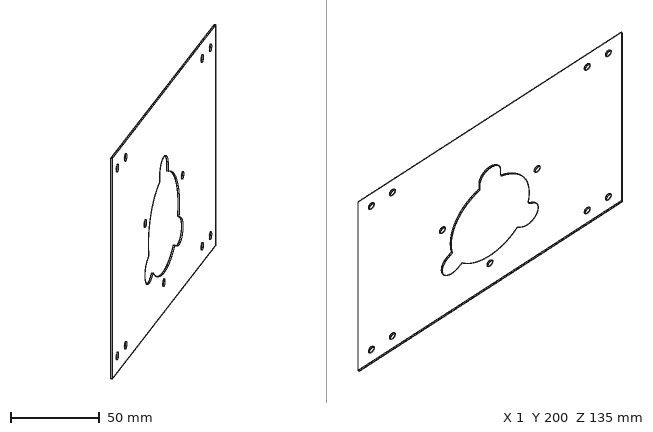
import cadquery as cq

thickness = 1.0
width = 200.0
height = 135.0

hole_diameter = 4.4
edge_margin = 10.0
pair_spacing = 16.0

opening_z = -13.5
opening_diameter = 60.0
lobe_width = 16.4
lobe_reach = 33.0
lobe_angles = (90, 210, 330)

side_hole_y = 36.0
side_hole_rise = 15.0
bottom_hole_drop = 36.0


def plate_blank():
    return cq.Workplane("YZ").rect(width, height).extrude(thickness / 2, both=True)


def through_cutter(sketch):
    """Extrude closed outlines on the YZ plane right through the plate."""
    return sketch.extrude(thickness, both=True)


def round_holes(points):
    return through_cutter(cq.Workplane("YZ").pushPoints(points).circle(hole_diameter / 2))


def lobe(angle):
    """Slot from the opening centre outwards, ending in a half circle."""
    half_width = lobe_width / 2
    outline = (
        cq.Workplane("YZ")
        .moveTo(0, -half_width)
        .lineTo(lobe_reach, -half_width)
        .threePointArc((lobe_reach + half_width, 0), (lobe_reach, half_width))
        .lineTo(0, half_width)
        .close()
    )
    return through_cutter(outline).rotate((0, 0, 0), (1, 0, 0), angle)


def central_opening():
    opening = through_cutter(cq.Workplane("YZ").circle(opening_diameter / 2))
    for angle in lobe_angles:
        opening = opening.union(lobe(angle))
    return opening.translate((0, 0, opening_z))


def mounting_hole_points():
    outer_y = width / 2 - edge_margin
    inner_y = outer_y - pair_spacing
    row_z = height / 2 - edge_margin
    return [(side * y, end * row_z) for side in (-1, 1) for end in (-1, 1) for y in (inner_y, outer_y)]


fixing_hole_points = [
    (-side_hole_y, opening_z + side_hole_rise),
    (side_hole_y, opening_z + side_hole_rise),
    (0, opening_z - bottom_hole_drop),
]

result = (
    plate_blank()
    .cut(central_opening())
    .cut(round_holes(mounting_hole_points()))
    .cut(round_holes(fixing_hole_points))
)